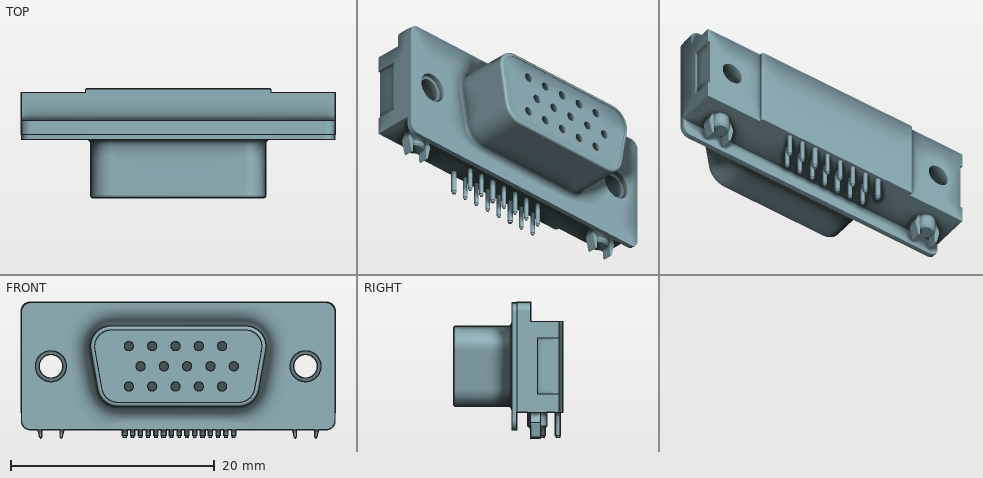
import math

import cadquery as cq

OVERLAP = 0.2

PLATE_WIDTH = 30.8
PLATE_HEIGHT = 12.5
PLATE_THICKNESS = 0.5
PLATE_CORNER_RADIUS = 0.9

INSULATOR_WIDTH = 30.86
SLAB_TOP = 6.31
SLAB_BACK = 1.87
BLOCK_TOP = 4.41
BLOCK_BOTTOM = -4.53
BLOCK_BACK = 4.64
PAD_WIDTH = 18.25
PAD_BACK = 5.02
PAD_EDGE_RADIUS = 0.2

RECESS_FRONT = 2.5
RECESS_TOP = 2.77
RECESS_BOTTOM = -2.73
RECESS_DEPTH = 0.25

SHELL_HALF_HEIGHT = 3.95
SHELL_MIDDLE_HALF_WIDTH = 8.3
SHELL_SIDE_ANGLE = math.radians(10)
SHELL_CORNER_RADIUS = 2.0
SHELL_WALL = 0.4
SHELL_LENGTH = 5.72
SHELL_BASE_FILLET = 0.35
SHELL_RIM_FILLET = 0.25
FACE_RECESS = 0.08

CONTACT_PITCH = 2.29
CONTACT_FIRST_X = -4.85
CONTACT_ROW_SPACING = 1.98
CONTACT_ROWS = (-1, 0, 1)
CONTACTS_PER_ROW = 5
CONTACT_HOLE_DIAMETER = 0.9
CONTACT_HOLE_DEPTH = 4.0

MOUNT_SPACING = 25.0
MOUNT_HOLE_DIAMETER = 2.3
MOUNT_PLATE_DIAMETER = 3.05

PIN_COUNT = len(CONTACT_ROWS) * CONTACTS_PER_ROW
PIN_FIRST_X = -5.25
PIN_PITCH = CONTACT_PITCH / len(CONTACT_ROWS)
PIN_ROWS_Y = (4.52, 3.02)
PIN_DIAMETER = 0.44
WIDE_PIN_DIAMETER = 0.54
WIDE_PIN_EVERY = CONTACTS_PER_ROW
PIN_BOTTOM = -7.0
PIN_TIP_LENGTH = 0.2
PIN_TIP_STEP = 0.08

BOSS_DIAMETER = 1.92
BOSS_Y = 2.52
BOSS_BOTTOM = -6.05
BOSS_CHAMFER = 0.2
LEG_FRONT = 1.84
LEG_WIDTH = 0.98
LEG_BOTTOM = -7.08
LEG_INNER = 0.88
LEG_TOP_OUTER = 1.1
LEG_BARB_OUTER = 1.42
LEG_BARB_TOP = -5.5
LEG_BARB_BOTTOM = -5.7
LEG_TIP_OUTER = 1.13
LEG_TIP_HEIGHT = 0.15


def box(x_min, x_max, y_min, y_max, z_min, z_max):
    """Axis-aligned box between the given limits."""
    size = (x_max - x_min, y_max - y_min, z_max - z_min)
    return cq.Workplane("XY").box(*size, centered=False).translate((x_min, y_min, z_min))


def rod(x, z, diameter, y_front, y_back):
    """Cylinder along Y."""
    plane = cq.Workplane("XZ", origin=(x, y_front, z))
    return plane.circle(diameter / 2).extrude(y_front - y_back)


def make_plate():
    half_width = PLATE_WIDTH / 2
    half_height = PLATE_HEIGHT / 2
    plate = box(-half_width, half_width, 0, PLATE_THICKNESS, -half_height, half_height)
    return plate.edges("|Y").fillet(PLATE_CORNER_RADIUS)


def make_insulator():
    right = INSULATOR_WIDTH / 2
    left = -right
    slab = box(left, right, PLATE_THICKNESS, SLAB_BACK, BLOCK_BOTTOM, SLAB_TOP)
    slab = slab.edges("|Y and >Z").fillet(PLATE_CORNER_RADIUS)
    block = box(left, right, PLATE_THICKNESS, BLOCK_BACK, BLOCK_BOTTOM, BLOCK_TOP)
    pad = box(-PAD_WIDTH / 2, PAD_WIDTH / 2, SLAB_BACK, PAD_BACK, BLOCK_BOTTOM, BLOCK_TOP)
    pad = pad.edges("|Z and >Y").fillet(PAD_EDGE_RADIUS)
    body = slab.union(block).union(pad)
    for x_min in (left, right - RECESS_DEPTH):
        x_max = x_min + RECESS_DEPTH
        body = body.cut(box(x_min, x_max, RECESS_FRONT, BLOCK_BACK, RECESS_BOTTOM, RECESS_TOP))
    return body


def d_prism(offset, y_front, y_back):
    """D-shaped prism; the shell outline moved inward by `offset`."""
    half_height = SHELL_HALF_HEIGHT - offset
    middle = SHELL_MIDDLE_HALF_WIDTH - offset / math.cos(SHELL_SIDE_ANGLE)
    lean = half_height * math.tan(SHELL_SIDE_ANGLE)
    corners = [
        (-middle - lean, half_height),
        (middle + lean, half_height),
        (middle - lean, -half_height),
        (-middle + lean, -half_height),
    ]
    prism = cq.Workplane("XZ", origin=(0, y_back, 0)).polyline(corners).close().extrude(y_back - y_front)
    return prism.edges("|Y").fillet(SHELL_CORNER_RADIUS - offset)


def make_shell():
    """D-shaped shell with a rounded rim, filled by the slightly sunken contact face."""
    shell = d_prism(0, -SHELL_LENGTH, 0).faces("<Y").edges().fillet(SHELL_RIM_FILLET)
    return shell.cut(d_prism(SHELL_WALL, -SHELL_LENGTH, FACE_RECESS - SHELL_LENGTH))


def add_base_fillet(body):
    """Round the inside corner where the shell meets the plate."""
    reach = SHELL_MIDDLE_HALF_WIDTH + SHELL_HALF_HEIGHT / 2
    tolerance = 0.01
    corner = cq.selectors.BoxSelector(
        (-reach, -tolerance, -SHELL_HALF_HEIGHT - tolerance),
        (reach, tolerance, SHELL_HALF_HEIGHT + tolerance),
    )
    return body.edges(corner).fillet(SHELL_BASE_FILLET)


def contact_holes():
    """Three rows of contact holes; the middle row is moved half a pitch towards +X."""
    face = -SHELL_LENGTH
    holes = cq.Workplane("XZ")
    for row in CONTACT_ROWS:
        shift = CONTACT_PITCH / 2 if row == 0 else 0
        for column in range(CONTACTS_PER_ROW):
            x = CONTACT_FIRST_X + shift + column * CONTACT_PITCH
            z = row * CONTACT_ROW_SPACING
            holes = holes.add(rod(x, z, CONTACT_HOLE_DIAMETER, face, face + CONTACT_HOLE_DEPTH))
    return holes.combine()


def mount_holes(side):
    """Through hole with a larger clearance hole in the plate."""
    x = side * MOUNT_SPACING / 2
    through = rod(x, 0, MOUNT_HOLE_DIAMETER, 0, BLOCK_BACK)
    return through.union(rod(x, 0, MOUNT_PLATE_DIAMETER, 0, PLATE_THICKNESS))


def make_pin(x, y, diameter):
    """Round pin hanging from the block, with a stepped tip."""
    shank_bottom = PIN_BOTTOM + PIN_TIP_LENGTH
    top = BLOCK_BOTTOM + OVERLAP
    pin = cq.Workplane("XY", origin=(x, y, shank_bottom)).circle(diameter / 2).extrude(top - shank_bottom)
    tip = cq.Workplane("XY", origin=(x, y, PIN_BOTTOM))
    return pin.union(tip.circle(diameter / 2 - PIN_TIP_STEP).extrude(PIN_TIP_LENGTH))


def make_board_lock(side):
    x = side * MOUNT_SPACING / 2
    top = BLOCK_BOTTOM + OVERLAP
    boss = cq.Workplane("XY", origin=(x, BOSS_Y, BOSS_BOTTOM)).circle(BOSS_DIAMETER / 2)
    lock = boss.extrude(top - BOSS_BOTTOM).faces("<Z").chamfer(BOSS_CHAMFER)
    leg_outline = [
        (LEG_INNER, top),
        (LEG_TOP_OUTER, top),
        (LEG_TOP_OUTER, BLOCK_BOTTOM),
        (LEG_BARB_OUTER, LEG_BARB_TOP),
        (LEG_BARB_OUTER, LEG_BARB_BOTTOM),
        (LEG_TIP_OUTER, LEG_BOTTOM + LEG_TIP_HEIGHT),
        ((LEG_INNER + LEG_TIP_OUTER) / 2, LEG_BOTTOM),
        (LEG_INNER, LEG_BOTTOM + LEG_TIP_HEIGHT),
    ]
    for direction in (-1, 1):
        points = [(x + direction * out, z) for out, z in leg_outline]
        leg = cq.Workplane("XZ", origin=(0, LEG_FRONT, 0)).polyline(points).close().extrude(-LEG_WIDTH)
        lock = lock.union(leg)
    return lock


result = add_base_fillet(make_plate().union(make_shell()))
result = result.union(make_insulator()).cut(contact_holes())

for mount_side in (-1, 1):
    result = result.cut(mount_holes(mount_side)).union(make_board_lock(mount_side))

for index in range(PIN_COUNT):
    pin_x = PIN_FIRST_X + index * PIN_PITCH
    pin_y = PIN_ROWS_Y[index % len(PIN_ROWS_Y)]
    pin_diameter = WIDE_PIN_DIAMETER if index % WIDE_PIN_EVERY == 0 else PIN_DIAMETER
    result = result.union(make_pin(pin_x, pin_y, pin_diameter))